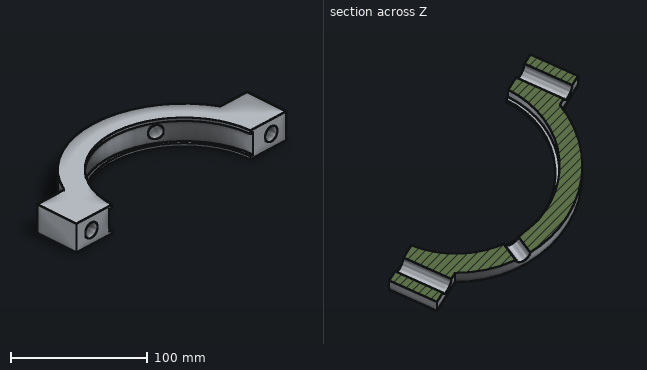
import cadquery as cq
import math

thickness = 25.0
overall_length = 222.0
outer_radius = 93.0
ring_wall = 20.0
inner_radius = outer_radius - ring_wall
split_face_x = -3.0
lug_depth = 40.0

bolt_hole_diameter = 13.0
bolt_spacing = 190.0

lip_height = 3.0
groove_depth = 3.0
groove_height = thickness - 2 * lip_height
groove_radius = inner_radius + groove_depth

port_diameter = 12.0
port_angle = 150.0


def disc(radius, height):
    """Cylinder about the ring axis, centred on Z = 0."""
    return cq.Workplane("XY").circle(radius).extrude(height / 2, both=True)


def make_body():
    """Ring with a lug band across it, cut off at the split face and bored."""
    lugs = (
        cq.Workplane("XY")
        .box(lug_depth, overall_length, thickness)
        .translate((split_face_x - lug_depth / 2, 0, 0))
    )
    keep_depth = outer_radius + split_face_x
    left_half = (
        cq.Workplane("XY")
        .box(keep_depth, overall_length, thickness)
        .translate((split_face_x - keep_depth / 2, 0, 0))
    )
    ring = disc(outer_radius, thickness).intersect(left_half)
    return ring.union(lugs).cut(disc(inner_radius, thickness))


def make_bolt_holes():
    """Clamping bolt holes along X, one through each lug."""
    return (
        cq.Workplane("YZ", origin=(split_face_x, 0, 0))
        .pushPoints([(-bolt_spacing / 2, 0), (bolt_spacing / 2, 0)])
        .circle(bolt_hole_diameter / 2)
        .extrude(-lug_depth)
    )


def make_port():
    """Radial hole from the outside of the ring into the groove."""
    angle = math.radians(port_angle)
    outward = cq.Vector(math.cos(angle), math.sin(angle), 0)
    cylinder = cq.Solid.makeCylinder(port_diameter / 2, outer_radius, cq.Vector(0, 0, 0), outward)
    return cq.Workplane(cylinder)


result = (
    make_body()
    .cut(disc(groove_radius, groove_height))
    .cut(make_bolt_holes())
    .cut(make_port())
)